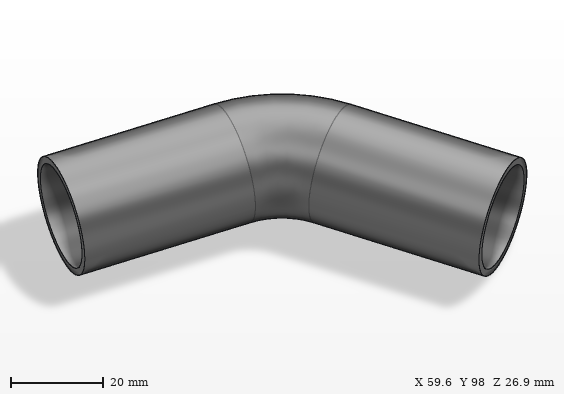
import cadquery as cq
import math

overall_length = 97.95
outer_diameter = 26.9
inner_diameter = 23.7
leg_length = 40.0
bend_angle = 45.0

bend_sin = math.sin(math.radians(bend_angle))
bend_cos = math.cos(math.radians(bend_angle))
end_rim_reach = outer_diameter / 2 * bend_sin
legs_reach = leg_length * (1 + bend_cos)
bend_radius = (overall_length - legs_reach - end_rim_reach) / bend_sin

bend_start = cq.Vector(0, leg_length, 0)
bend_end = bend_start + cq.Vector(bend_radius * (1 - bend_cos), bend_radius * bend_sin, 0)
angled_direction = cq.Vector(bend_sin, bend_cos, 0)


def tube_section(origin, direction):
    """Pipe ring drawn on the plane across the centreline at origin."""
    plane = cq.Plane(origin=origin, xDir=(0, 0, 1), normal=direction)
    return cq.Workplane(plane).circle(outer_diameter / 2).circle(inner_diameter / 2)


def make_bend():
    """Ring revolved toward +X about the vertical axis through the bend centre."""
    ring = tube_section(bend_start, (0, 1, 0))
    return ring.revolve(bend_angle, (0, bend_radius), (-1, bend_radius))


straight_leg = tube_section((0, 0, 0), (0, 1, 0)).extrude(leg_length)
angled_leg = tube_section(bend_end, angled_direction).extrude(leg_length)

result = straight_leg.union(make_bend()).union(angled_leg)